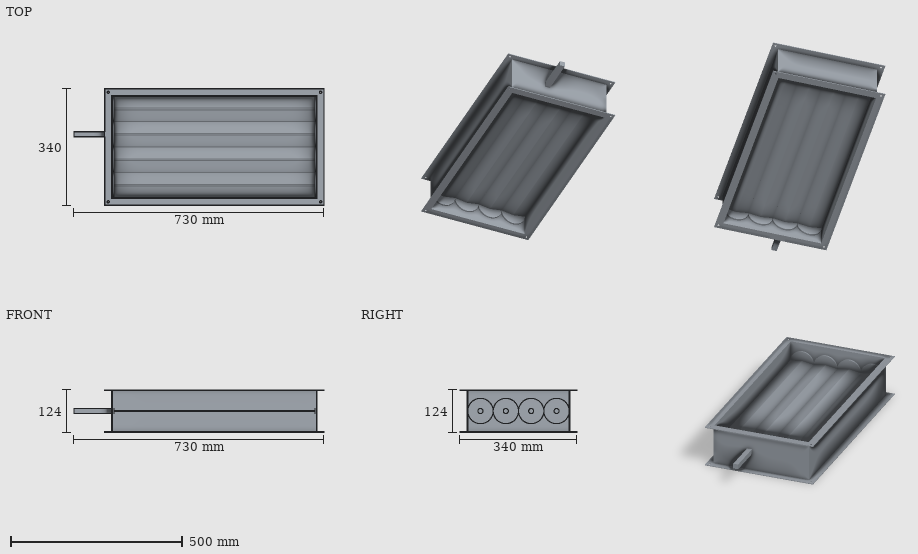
import cadquery as cq

OVERALL_LENGTH = 730.0
DUCT_LENGTH = 600.0
DUCT_WIDTH = 300.0
FLANGE_WIDTH = 340.0
FRAME_HEIGHT = 124.0
SHEET = 2.05
BOLT_HOLE_DIAMETER = 6.0
BOLT_HOLE_INSET = 10.0

FLANGE_OVERHANG = (FLANGE_WIDTH - DUCT_WIDTH) / 2
FLANGE_LENGTH = DUCT_LENGTH + 2 * FLANGE_OVERHANG
INNER_LENGTH = DUCT_LENGTH - 2 * SHEET
INNER_WIDTH = DUCT_WIDTH - 2 * SHEET

BLADE_COUNT = 4
DRIVEN_BLADE = 2
DISC_THICKNESS = 5.0
PIVOT_DIAMETER = 14.5
BLADE_EDGE_THICKNESS = 3.0
DRIVE_SHAFT_SIDE = 15.0

BLADE_PITCH = INNER_WIDTH / BLADE_COUNT
DISC_DIAMETER = BLADE_PITCH
BLADE_LENGTH = INNER_LENGTH - 2 * DISC_THICKNESS
DRIVE_SHAFT_LENGTH = OVERALL_LENGTH - DUCT_LENGTH - FLANGE_OVERHANG
BLADE_CENTRES = [(i - (BLADE_COUNT - 1) / 2) * BLADE_PITCH for i in range(BLADE_COUNT)]
DRIVE_CENTRE = BLADE_CENTRES[DRIVEN_BLADE]


def bar_along_x(section, x_start, length):
    """Extrude a section drawn by `section` on a YZ plane from x_start towards +X."""
    return section(cq.Workplane("YZ", origin=(x_start, 0, 0))).extrude(length)


def pivot_rod(centre_y):
    """Round pivot that reaches from one outer duct face to the other."""
    return bar_along_x(
        lambda plane: plane.center(centre_y, 0).circle(PIVOT_DIAMETER / 2), -DUCT_LENGTH / 2, DUCT_LENGTH
    )


def drive_shaft():
    """Square shaft that runs from the disc of the driven blade out through the -X wall."""
    return bar_along_x(
        lambda plane: plane.center(DRIVE_CENTRE, 0).rect(DRIVE_SHAFT_SIDE, DRIVE_SHAFT_SIDE),
        -DUCT_LENGTH / 2 - DRIVE_SHAFT_LENGTH,
        DRIVE_SHAFT_LENGTH + SHEET,
    )


def make_frame():
    frame = cq.Workplane("XY").box(DUCT_LENGTH, DUCT_WIDTH, FRAME_HEIGHT)
    for side in (-1, 1):
        flange = (
            cq.Workplane("XY", origin=(0, 0, side * (FRAME_HEIGHT - SHEET) / 2))
            .box(FLANGE_LENGTH, FLANGE_WIDTH, SHEET)
        )
        frame = frame.union(flange)
    frame = frame.cut(cq.Workplane("XY").box(INNER_LENGTH, INNER_WIDTH, FRAME_HEIGHT))
    bolt_holes = (
        cq.Workplane("XY")
        .rect(FLANGE_LENGTH - 2 * BOLT_HOLE_INSET, FLANGE_WIDTH - 2 * BOLT_HOLE_INSET, forConstruction=True)
        .vertices()
        .circle(BOLT_HOLE_DIAMETER / 2)
        .extrude(FRAME_HEIGHT / 2, both=True)
    )
    frame = frame.cut(bolt_holes)
    for centre_y in BLADE_CENTRES:
        frame = frame.cut(pivot_rod(centre_y))
    return frame.cut(drive_shaft())


def blade_section(plane):
    """Slim section: flat faces rise from the blunt blade edges to ridges that reach the pivot surface."""
    half_pitch = BLADE_PITCH / 2
    half_edge = BLADE_EDGE_THICKNESS / 2
    ridge = PIVOT_DIAMETER / 2
    return plane.polyline(
        [
            (half_pitch, -half_edge),
            (half_pitch, half_edge),
            (0, ridge),
            (-half_pitch, half_edge),
            (-half_pitch, -half_edge),
            (0, -ridge),
        ]
    ).close()


def make_blade_row():
    row = drive_shaft()
    for centre_y in BLADE_CENTRES:
        blade = bar_along_x(blade_section, -BLADE_LENGTH / 2, BLADE_LENGTH).translate((0, centre_y, 0))
        row = row.union(blade).union(pivot_rod(centre_y))
        for x_start in (-INNER_LENGTH / 2, BLADE_LENGTH / 2):
            disc = bar_along_x(
                lambda plane: plane.center(centre_y, 0).circle(DISC_DIAMETER / 2), x_start, DISC_THICKNESS
            )
            row = row.union(disc)
    return row


frame = make_frame()
blade_row = make_blade_row()

result = cq.Compound.makeCompound([frame.val(), blade_row.val()])